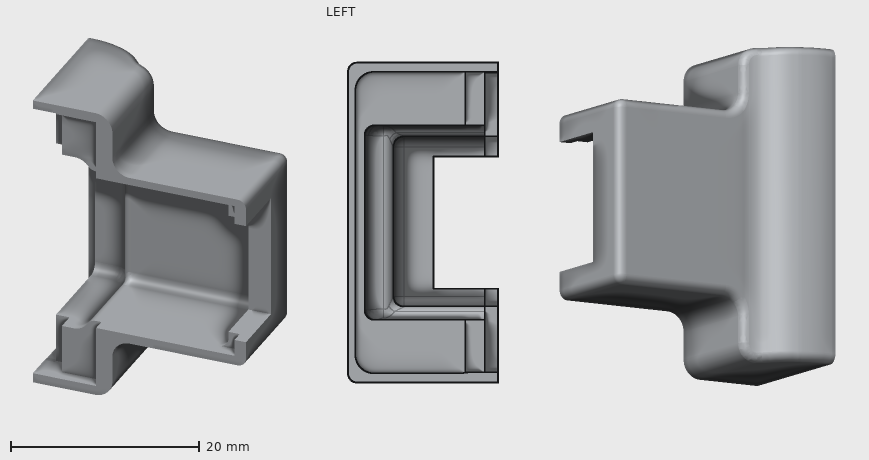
import cadquery as cq
import math


length = 24.58
depth = 15.95
height = 34.0
flange_length = 9.18
neck_half_height = 10.0
neck_depth = 12.05
flange_blend = 2.0
outer_round = 1.0

back_flat = 0.45
gentle_radius = 9.0
shoulder_radius = 6.0
hollow_radius = 3.0
gentle_slope = math.radians(22)
steep_slope = math.radians(53)

chamber_half_height = 10.35
chamber_floor = 14.18
neck_top_wall = 9.15
neck_bottom_wall = -8.9
neck_floor = 11.12
cavity_end = 21.95
step_end = 6.65
step_inner_radius = 1.97
step_outer_radius = 1.1
cavity_round = 1.1

mouth_length = 1.2
mouth_floor = 15.15
mouth_half_height = 16.0
mouth_corner = 2.0
sill_height = 0.1
sill_ramp_start = 3.2
sill_ramp_end = 3.98
rim_top = mouth_half_height - sill_height
sill_top = -rim_top
side_step_end = 2.75
side_step_depth = 3.5
ledge_end = 7.3
ledge_depth = 1.43
neck_ledge_end = 23.25

notch_half_height = 7.0
notch_depth = 6.85

tolerance = 0.05


def block(x_range, y_range, z_range):
    """Box spanning the given ranges."""
    corners = list(zip(x_range, y_range, z_range))
    size = [high - low for low, high in zip(*corners)]
    return cq.Workplane("XY").box(*size, centered=False).translate(corners[0])


def arc_by_slope(profile, start, radius, slope_in, slope_out):
    """Add an arc whose downward slope turns from slope_in to slope_out."""
    turn = math.copysign(radius, slope_out - slope_in)

    def point(slope):
        x = start[0] + turn * (math.sin(slope) - math.sin(slope_in))
        y = start[1] + turn * (math.cos(slope) - math.cos(slope_in))
        return x, y

    end = point(slope_out)
    middle = point((slope_in + slope_out) / 2)
    return profile.threePointArc(middle, end), end


def step_down(high, low):
    """Closed outline that steps from `high` to `low` through two tangent arcs ending at step_end."""
    radii = step_inner_radius + step_outer_radius
    slope = math.acos(1 - (high - low) / radii)
    start = (step_end - radii * math.sin(slope), high)
    outline = cq.Workplane("XY").lineTo(0, high).lineTo(*start)
    outline, middle = arc_by_slope(outline, start, step_inner_radius, 0, slope)
    outline, _ = arc_by_slope(outline, middle, step_outer_radius, slope, 0)
    return outline.lineTo(cavity_end, low).lineTo(cavity_end, 0).close()


def round_back(shape, radius, end_x, back_y):
    """Fillet the edges round the back of a shape together with those of its end wall."""

    def is_outer_edge(edge):
        center = edge.Center()
        on_back = center.y > back_y - tolerance and abs(center.z) > neck_half_height / 2
        on_end = center.x > end_x - tolerance and center.y > tolerance
        return on_back or on_end

    rim = [edge for edge in shape.edges().vals() if is_outer_edge(edge)]
    return shape.newObject(rim).fillet(radius)


def make_plan():
    """Flange and neck outline in X and Z, extruded to the full depth."""
    half_height = height / 2
    flange = block((0, flange_length), (0, depth), (-half_height, half_height))
    flange = flange.edges("|Y and >X").fillet(flange_blend)
    neck = block((0, length), (0, depth), (-neck_half_height, neck_half_height))
    both = flange.union(neck)
    corners = [
        edge
        for edge in both.edges("|Y").vals()
        if abs(edge.Center().x - flange_length) < tolerance
        and abs(abs(edge.Center().z) - neck_half_height) < tolerance
    ]
    return both.newObject(corners).fillet(flange_blend)


def make_side():
    """Curved back of the flange running down to the neck, extruded to the full height."""
    arc_drop = (
        gentle_radius * (1 - math.cos(gentle_slope))
        + shoulder_radius * (math.cos(gentle_slope) - math.cos(steep_slope))
        + hollow_radius * (1 - math.cos(steep_slope))
    )
    slope_drop = depth - neck_depth - arc_drop

    crest = (back_flat, depth)
    outline = cq.Workplane("XY").lineTo(0, depth).lineTo(*crest)
    outline, slope_top = arc_by_slope(outline, crest, gentle_radius, 0, gentle_slope)
    shoulder = (slope_top[0] + slope_drop / math.tan(gentle_slope), slope_top[1] - slope_drop)
    outline = outline.lineTo(*shoulder)
    outline, hollow = arc_by_slope(outline, shoulder, shoulder_radius, gentle_slope, steep_slope)
    outline, _ = arc_by_slope(outline, hollow, hollow_radius, steep_slope, 0)
    outline = outline.lineTo(length, neck_depth).lineTo(length, 0).close()
    return outline.extrude(height / 2, both=True)


def make_body():
    body = make_plan().intersect(make_side())
    return round_back(body, outer_round, length, neck_depth)


def make_cavity():
    upper = step_down(chamber_half_height, neck_top_wall).extrude(-chamber_floor)
    upper = upper.rotate((0, 0, 0), (1, 0, 0), 90)
    lower = step_down(chamber_half_height, -neck_bottom_wall).extrude(chamber_floor)
    lower = lower.rotate((0, 0, 0), (1, 0, 0), -90)
    side = step_down(chamber_floor, neck_floor).extrude(height / 2, both=True)
    cavity = upper.union(lower).clean().intersect(side)
    return round_back(cavity, cavity_round, cavity_end, neck_floor)


def make_mouth():
    """Recess across the flange mouth, rounded at the back and raised to a sill at the lower front."""
    mouth = block((0, mouth_length), (0, mouth_floor), (-mouth_half_height, mouth_half_height))
    mouth = mouth.edges("|X and >Y").fillet(mouth_corner)
    sill = (
        cq.Workplane("YZ")
        .moveTo(0, -mouth_half_height)
        .lineTo(0, sill_top)
        .lineTo(sill_ramp_start, sill_top)
        .lineTo(sill_ramp_end, -mouth_half_height)
        .close()
        .extrude(mouth_length)
    )
    return mouth.cut(sill)


def make_front_recesses():
    """Stepped ledges in the flange and the shallow ledge at the neck end."""
    side_step = block((0, side_step_end), (0, side_step_depth), (sill_top, mouth_half_height))
    flange_ledge = block((0, ledge_end), (0, ledge_depth), (sill_top, rim_top))
    neck_ledge = block((0, neck_ledge_end), (0, ledge_depth), (neck_bottom_wall, neck_top_wall))
    return side_step.union(flange_ledge).union(neck_ledge)


def make_notch():
    notch_start = cavity_end - cavity_round
    return block((notch_start, length), (0, notch_depth), (-notch_half_height, notch_half_height))


result = (
    make_body()
    .cut(make_cavity())
    .cut(make_mouth())
    .cut(make_front_recesses())
    .cut(make_notch())
)